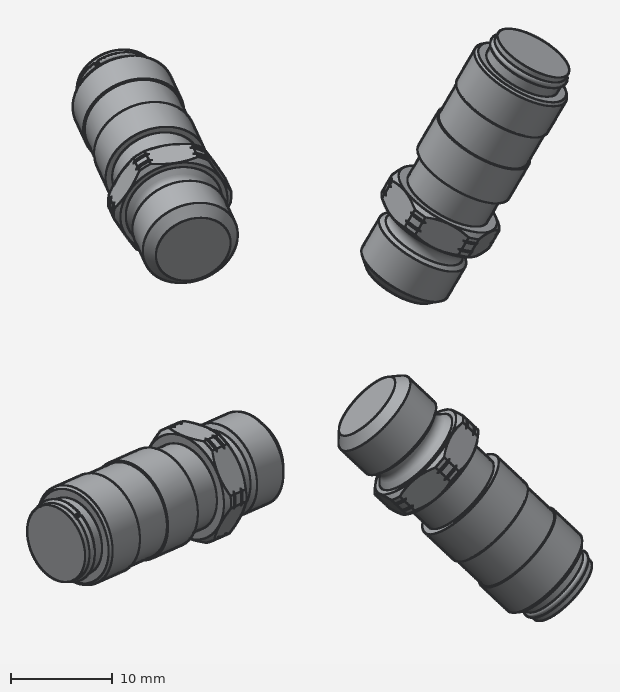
import cadquery as cq
import math


COLLAR_START = 2.38
BAND_START = 6.5
BAND_END = 10.45
COLLAR_END = 14.65
HEX_START = 18.0
HEX_END = 21.07
THREAD_START = 23.28
TOTAL_LENGTH = 28.05

TIP_DIA = 8.0
COLLAR_DIA = 10.35
BAND_DIA = 10.0
BARREL_DIA = 9.0
NECK_DIA = 8.15
THREAD_DIA = 9.73
THREAD_END_DIA = 7.63
COLLAR_CHAMFER = 0.28

NECK_CENTER_X = 22.33
NECK_RADIUS = 1.0
NECK_RUN_OUT = 0.62
NECK_CONE_ANGLE = 45.0

ACROSS_FLATS = 11.0
CORNER_DIA = 12.0
HEX_FACE_DIA = 10.95
HEX_CHAMFER_LENGTH = 0.45
HEX_TILT = 1.7
MARK_SPACING = 1.0
MARK_OFFSET = -0.03
MARK_WIDTH = 0.17
MARK_DEPTH = 0.1

RING_X = 0.95
RING_OUTER_DIA = 8.55
WIRE_DIA = 0.67
GAP_ANGLE = 5.0
GAP_DIRECTION = 58.0

AXIS_START = (0, 0, 0)
AXIS_END = (1, 0, 0)
FULL_TURN = 360.0
HALF_TURN = 180.0
HEX_SIDES = 6


def revolve_about_x(profile, angle=FULL_TURN):
    """Turn a closed profile, drawn in the XY plane, about the X axis."""
    return profile.revolve(angle, AXIS_START, AXIS_END)


def make_front_section():
    """Plug tip, grooved collar and barrel, up to the hexagon."""
    tip_r = TIP_DIA / 2
    collar_r = COLLAR_DIA / 2
    band_r = BAND_DIA / 2
    barrel_r = BARREL_DIA / 2
    profile = (
        cq.Workplane("XY")
        .moveTo(0, 0)
        .lineTo(0, tip_r)
        .lineTo(COLLAR_START, tip_r)
        .lineTo(COLLAR_START, collar_r - COLLAR_CHAMFER)
        .lineTo(COLLAR_START + COLLAR_CHAMFER, collar_r)
        .lineTo(BAND_START, collar_r)
        .lineTo(BAND_START, band_r)
        .lineTo(BAND_END, band_r)
        .lineTo(BAND_END, collar_r)
        .lineTo(COLLAR_END, collar_r)
        .lineTo(COLLAR_END, barrel_r)
        .lineTo(HEX_START, barrel_r)
        .lineTo(HEX_START, 0)
        .close()
    )
    return revolve_about_x(profile)


def make_thread_section():
    """Undercut neck and threaded end, drawn smooth, behind the hexagon."""
    neck_r = NECK_DIA / 2
    thread_r = THREAD_DIA / 2
    thread_end_r = THREAD_END_DIA / 2
    end_chamfer = thread_r - thread_end_r

    cone_angle = math.radians(NECK_CONE_ANGLE)
    arc_start_x = NECK_CENTER_X - NECK_RADIUS * math.sin(cone_angle)
    arc_start_r = neck_r + NECK_RADIUS * (1 - math.cos(cone_angle))
    cone_r = arc_start_r + (arc_start_x - HEX_END) * math.tan(cone_angle)

    arc_end_x = NECK_CENTER_X + NECK_RUN_OUT
    arc_end_r = neck_r + NECK_RADIUS - math.sqrt(NECK_RADIUS**2 - NECK_RUN_OUT**2)

    profile = (
        cq.Workplane("XY")
        .moveTo(HEX_END, 0)
        .lineTo(HEX_END, cone_r)
        .lineTo(arc_start_x, arc_start_r)
        .threePointArc((NECK_CENTER_X, neck_r), (arc_end_x, arc_end_r))
        .lineTo(THREAD_START, thread_r)
        .lineTo(TOTAL_LENGTH - end_chamfer, thread_r)
        .lineTo(TOTAL_LENGTH, thread_end_r)
        .lineTo(TOTAL_LENGTH, 0)
        .close()
    )
    return revolve_about_x(profile)


def make_hexagon():
    """Hexagon with turned corners, chamfered ends and V grooves over its corners."""
    corner_r = CORNER_DIA / 2
    face_r = HEX_FACE_DIA / 2
    sharp_corner_dia = ACROSS_FLATS / math.cos(math.pi / HEX_SIDES)
    prism = (
        cq.Workplane("YZ", origin=(HEX_START, 0, 0))
        .polygon(HEX_SIDES, sharp_corner_dia)
        .extrude(HEX_END - HEX_START)
        .rotate(AXIS_START, AXIS_END, -HEX_TILT)
    )

    middle_x = (HEX_START + HEX_END) / 2 + MARK_OFFSET
    envelope = (
        cq.Workplane("XY")
        .moveTo(HEX_START, 0)
        .lineTo(HEX_START, face_r)
        .lineTo(HEX_START + HEX_CHAMFER_LENGTH, corner_r)
    )
    for mark_x in (middle_x - MARK_SPACING / 2, middle_x + MARK_SPACING / 2):
        envelope = (
            envelope
            .lineTo(mark_x - MARK_WIDTH / 2, corner_r)
            .lineTo(mark_x, corner_r - MARK_DEPTH)
            .lineTo(mark_x + MARK_WIDTH / 2, corner_r)
        )
    envelope = (
        envelope
        .lineTo(HEX_END - HEX_CHAMFER_LENGTH, corner_r)
        .lineTo(HEX_END, face_r)
        .lineTo(HEX_END, 0)
        .close()
    )
    return prism.intersect(revolve_about_x(envelope))


def make_wire_ring(angle):
    """Ring of round wire that starts on the +Y side and sweeps this angle about X."""
    wire_r = WIRE_DIA / 2
    wire_center_r = RING_OUTER_DIA / 2 - wire_r
    section = cq.Workplane("XY").moveTo(RING_X, wire_center_r).circle(wire_r)
    return revolve_about_x(section, angle)


def make_coupling_body():
    """The whole coupling as one solid, with a round groove that seats the snap ring."""
    body = make_front_section().union(make_hexagon()).union(make_thread_section())
    return body.cut(make_wire_ring(FULL_TURN))


def make_snap_ring():
    """Split ring, turned so that its gap is centred on GAP_DIRECTION."""
    gap_from_plus_y = HALF_TURN - GAP_DIRECTION
    ring = make_wire_ring(FULL_TURN - GAP_ANGLE)
    return ring.rotate(AXIS_START, AXIS_END, gap_from_plus_y + GAP_ANGLE / 2)


coupling_body = make_coupling_body()
snap_ring = make_snap_ring()

result = cq.Compound.makeCompound([coupling_body.val(), snap_ring.val()])